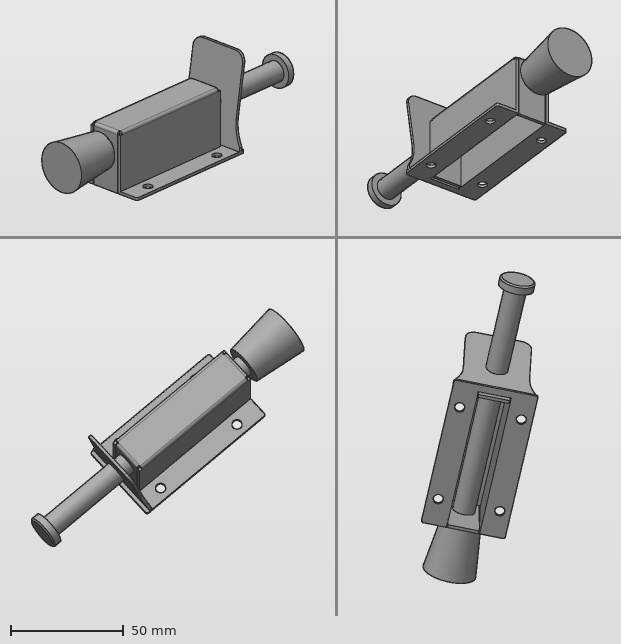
import cadquery as cq
import math

sheet = 1.5
total_length = 144.0

plate_width = 38.0
plate_front = 28.8
plate_length = 70.1
plate_corner_radius = 1.0
screw_hole_diameter = 4.5
screw_hole_x = 14.0
screw_hole_rows = (41.3, 86.4)

box_width = 17.9
box_length = 65.5
box_height = 30.1
seam_gap = 0.5

flap_width = 30.0
flap_top = 46.0
flap_base_y = 95.6
flap_lean = 9.4
flap_corner_radius = 5.0
flare_start = 3.3
flare_end = 16.5

axis_height = 20.0
shaft_diameter = 10.1
knob_length = 24.9
knob_tip_diameter = 24.0
knob_neck_diameter = 18.1
head_diameter = 16.0
head_length = 4.0
head_chamfer = 0.7

box_back = plate_front + box_length
inner_width = box_width - 2 * sheet


def block(width, y_start, y_end, z_start, z_end):
    """Box centred on X = 0 between the given Y and Z limits."""
    size = (width, y_end - y_start, z_end - z_start)
    return cq.Workplane("XY").box(*size, centered=(True, False, False)).translate((0, y_start, z_start))


def rod(diameter, y_start, y_end):
    """Cylinder on the plunger axis."""
    plane = cq.Workplane("XZ", origin=(0, y_start, axis_height))
    return plane.circle(diameter / 2).extrude(y_start - y_end)


def make_plate():
    plate = block(plate_width, plate_front, plate_front + plate_length, 0, sheet)
    plate = plate.edges("|Z").fillet(plate_corner_radius)
    hole_centers = [(side * screw_hole_x, y) for side in (-1, 1) for y in screw_hole_rows]
    holes = cq.Workplane("XY").pushPoints(hole_centers).circle(screw_hole_diameter / 2).extrude(sheet)
    opening = block(inner_width, plate_front, flap_base_y, 0, sheet)
    return plate.cut(holes).cut(opening)


def make_cover():
    """Folded box, open underneath, with slit seams at its four upright corners."""
    cover = block(box_width, plate_front, box_back, 0, box_height)
    cover = cover.faces(">Z").edges().fillet(sheet)
    cavity = block(inner_width, plate_front + sheet, box_back - sheet, 0, box_height - sheet)
    cover = cover.cut(cavity)

    bend_line = box_height - sheet
    side_walls = block(box_width, plate_front, box_back, 0, bend_line)
    side_walls = side_walls.cut(block(inner_width, plate_front, box_back, 0, bend_line))
    end_walls = block(inner_width - 2 * seam_gap, plate_front, box_back, 0, box_height)
    middle = block(box_width, plate_front + sheet, box_back - sheet, 0, box_height)
    folded = cover.intersect(end_walls.union(middle))
    return folded.union(side_walls)


def make_flap():
    """Leaning stop plate with rounded top corners and a flared foot."""
    lean = math.radians(flap_lean)
    half_width = flap_width / 2
    half_foot = plate_width / 2
    flare_depth = half_foot - half_width
    flare_rise = flare_end - flare_start
    flare_radius = (flare_depth**2 + flare_rise**2) / (2 * flare_depth)
    half_angle = math.asin(flare_rise / flare_radius) / 2
    flare_mid_x = half_width + flare_radius * (1 - math.cos(half_angle))
    flare_mid_z = flare_end - flare_radius * math.sin(half_angle)

    outline = (
        cq.Workplane("XZ")
        .moveTo(-half_foot, 0)
        .lineTo(half_foot, 0)
        .lineTo(half_foot, flare_start)
        .threePointArc((flare_mid_x, flare_mid_z), (half_width, flare_end))
        .lineTo(half_width, flap_top)
        .lineTo(-half_width, flap_top)
        .lineTo(-half_width, flare_end)
        .threePointArc((-flare_mid_x, flare_mid_z), (-half_foot, flare_start))
        .close()
        .extrude(-plate_length)
        .translate((0, plate_front + plate_length / 2, 0))
    )
    outline = outline.edges("|Y and >Z").fillet(flap_corner_radius)

    lean_shift = (flap_top - sheet) * math.tan(lean)
    thickness_y = sheet / math.cos(lean)
    top_y = flap_base_y + lean_shift
    leaning_sheet = (
        cq.Workplane("YZ")
        .polyline([
            (flap_base_y, sheet),
            (flap_base_y + thickness_y, sheet),
            (top_y + thickness_y, flap_top),
            (top_y, flap_top),
        ])
        .close()
        .extrude(half_foot, both=True)
    )
    return leaning_sheet.intersect(outline)


def make_bracket():
    bracket = make_plate().union(make_cover()).union(make_flap())
    return bracket.cut(rod(shaft_diameter, 0, total_length))


def make_plunger():
    knob = (
        cq.Workplane("XZ", origin=(0, 0, axis_height))
        .circle(knob_tip_diameter / 2)
        .workplane(offset=-knob_length)
        .circle(knob_neck_diameter / 2)
        .loft()
    )
    shaft = rod(shaft_diameter, knob_length, total_length)
    head = rod(head_diameter, total_length - head_length, total_length)
    head = head.faces(">Y").edges().chamfer(head_chamfer)
    return knob.union(shaft).union(head)


bracket = make_bracket()
plunger = make_plunger()

result = cq.Compound.makeCompound([bracket.solids().val(), plunger.solids().val()])